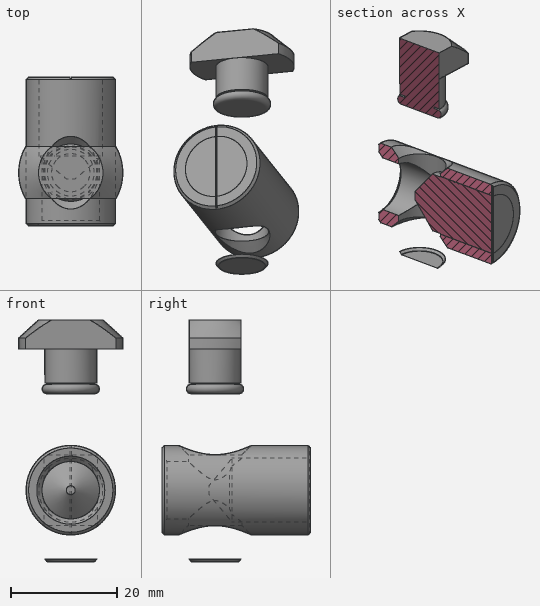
import cadquery as cq
import math


barrel_diameter = 16.85
barrel_length = 28.0
barrel_front = -10.0
barrel_back = barrel_front + barrel_length
barrel_axis_z = 13.5
barrel_chamfer = 0.5
bore_diameter = 10.8
bore_mouth_chamfer = 1.0
slot_width = 0.27
slot_depth = 0.27

screw_diameter = 12.0
screw_tip_diameter = 1.7
screw_cone_angle = 100
screw_cone_base = 3.2

cross_hole_diameter = 10.05
countersink_diameter = 13.65
countersink_angle = 90

knob_top = 45.5
head_diameter = 19.6
head_width = 9.8
head_height = 5.5
head_rim_height = 2.1
head_top_diameter = 12.1
stem_diameter = 9.8
stem_length = 8.35
neck_diameter = 7.2
neck_length = 2.0

bead_diameter = 10.8
bead_radius = (bead_diameter - neck_diameter) / 4

dish_diameter = stem_diameter
dish_height = 0.55
dish_floor_thickness = 0.1
dish_bevel = 0.5


def cone_length(large_diameter, small_diameter, included_angle):
    """Axial length of a cone between two diameters."""
    half_angle = math.radians(included_angle / 2)
    return (large_diameter - small_diameter) / 2 / math.tan(half_angle)


def make_bore():
    """Bore with a chamfered mouth, open up to the base of the screw cone."""
    radius = bore_diameter / 2
    profile = (
        cq.Workplane("XY")
        .moveTo(0, barrel_front)
        .lineTo(radius + bore_mouth_chamfer, barrel_front)
        .lineTo(radius, barrel_front + bore_mouth_chamfer)
        .lineTo(radius, screw_cone_base)
        .lineTo(0, screw_cone_base)
        .close()
    )
    return profile.revolve(360, (0, 0), (0, 1)).translate((0, 0, barrel_axis_z))


def make_cross_hole():
    """Through hole along Z that widens to the countersink at both ends."""
    radius = cross_hole_diameter / 2
    sink_radius = countersink_diameter / 2
    end = barrel_diameter / 2
    sink_start = end - cone_length(countersink_diameter, cross_hole_diameter, countersink_angle)
    profile = (
        cq.Workplane("XZ")
        .moveTo(0, -end)
        .lineTo(sink_radius, -end)
        .lineTo(radius, -sink_start)
        .lineTo(radius, sink_start)
        .lineTo(sink_radius, end)
        .lineTo(0, end)
        .close()
    )
    return profile.revolve(360, (0, 0), (0, 1)).translate((0, 0, barrel_axis_z))


def make_slot():
    """Fine vertical slot across the back face of the barrel and screw."""
    slot = cq.Workplane("XY").box(slot_width, 2 * slot_depth, barrel_diameter)
    return slot.translate((0, barrel_back, barrel_axis_z))


def make_screw():
    """Set screw with a flat-tipped cone that points at the bore mouth."""
    radius = screw_diameter / 2
    tip_y = screw_cone_base - cone_length(screw_diameter, screw_tip_diameter, screw_cone_angle)
    profile = (
        cq.Workplane("XY")
        .moveTo(0, tip_y)
        .lineTo(screw_tip_diameter / 2, tip_y)
        .lineTo(radius, screw_cone_base)
        .lineTo(radius, barrel_back)
        .lineTo(0, barrel_back)
        .close()
    )
    body = profile.revolve(360, (0, 0), (0, 1)).translate((0, 0, barrel_axis_z))
    return body.cut(make_slot())


def make_barrel():
    """Chamfered cylinder with the bore, cross hole and a seat that matches the screw."""
    body = (
        cq.Workplane("XZ", origin=(0, barrel_back, barrel_axis_z))
        .circle(barrel_diameter / 2)
        .extrude(barrel_length)
        .faces("<Y or >Y")
        .chamfer(barrel_chamfer)
    )
    return body.cut(make_bore()).cut(make_cross_hole()).cut(make_screw()).cut(make_slot())


def make_knob():
    """Turned knob: head cut to two flats, stem, neck and a round bead at the lower end."""
    head_bottom = knob_top - head_height
    stem_bottom = head_bottom - stem_length
    neck_top = stem_bottom + neck_length
    neck_radius = neck_diameter / 2
    bead_centre_radius = bead_diameter / 2 - bead_radius
    bead_top = stem_bottom + 2 * bead_radius
    head = (
        cq.Workplane("XZ")
        .moveTo(0, head_bottom)
        .lineTo(head_diameter / 2, head_bottom)
        .lineTo(head_diameter / 2, head_bottom + head_rim_height)
        .lineTo(head_top_diameter / 2, knob_top)
        .lineTo(0, knob_top)
        .close()
        .revolve(360, (0, 0), (0, 1))
    )
    flats = (
        cq.Workplane("XY", origin=(0, 0, head_bottom))
        .rect(head_diameter, head_width)
        .extrude(head_height)
    )
    shank = (
        cq.Workplane("XZ")
        .moveTo(0, stem_bottom)
        .lineTo(bead_centre_radius, stem_bottom)
        .threePointArc((bead_diameter / 2, stem_bottom + bead_radius), (bead_centre_radius, bead_top))
        .lineTo(neck_radius, bead_top)
        .lineTo(neck_radius, neck_top)
        .lineTo(stem_diameter / 2, neck_top)
        .lineTo(stem_diameter / 2, head_bottom)
        .lineTo(0, head_bottom)
        .close()
        .revolve(360, (0, 0), (0, 1))
    )
    return head.intersect(flats).union(shank)


def make_dish():
    """Thin shallow dish: sloped rim that rises to a sharp edge around a flat floor."""
    bottom_radius = dish_diameter / 2 - dish_bevel
    return (
        cq.Workplane("XZ")
        .lineTo(bottom_radius, 0)
        .lineTo(dish_diameter / 2, dish_height)
        .lineTo(bottom_radius, dish_floor_thickness)
        .lineTo(0, dish_floor_thickness)
        .close()
        .revolve(360, (0, 0), (0, 1))
    )


barrel = make_barrel()
screw = make_screw()
knob = make_knob()
dish = make_dish()

result = cq.Compound.makeCompound(
    [
        barrel.solids().val(),
        screw.solids().val(),
        knob.solids().val(),
        dish.solids().val(),
    ]
)